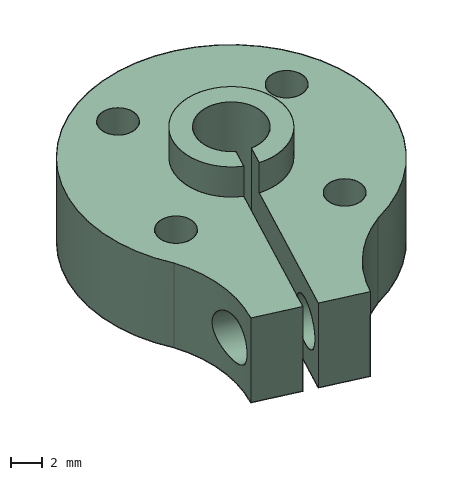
import cadquery as cq
import math

total_length = 26.55
disc_radius = 11.1
disc_height = 7.0
collar_diameter = 7.95
collar_height = 2.5
bore_diameter = 4.91
slot_width = 1.04

lug_end_x = total_length - disc_radius
lug_half_width = 4.0
join_x = 8.75

mount_hole_diameter = 2.7
mount_hole_spacing = 11.31

clamp_hole_diameter = 3.72
clamp_hole_end_distance = 2.52

total_height = disc_height + collar_height

join_y = math.sqrt(disc_radius**2 - join_x**2)
flank_length = lug_end_x - join_x
flank_rise = join_y - lug_half_width
flank_radius = (flank_length**2 + flank_rise**2) / (2 * flank_rise)
flank_center_y = lug_half_width + flank_radius

half_sweep = math.asin(flank_length / flank_radius) / 2
flank_mid_x = lug_end_x - flank_radius * math.sin(half_sweep)
flank_mid_y = flank_center_y - flank_radius * math.cos(half_sweep)


def make_body():
    """Disc blended into the clamp lug, with the collar on top."""
    body = (
        cq.Workplane("XY")
        .moveTo(lug_end_x, -lug_half_width)
        .lineTo(lug_end_x, lug_half_width)
        .threePointArc((flank_mid_x, flank_mid_y), (join_x, join_y))
        .threePointArc((-disc_radius, 0), (join_x, -join_y))
        .threePointArc((flank_mid_x, -flank_mid_y), (lug_end_x, -lug_half_width))
        .close()
        .extrude(disc_height)
    )
    collar = cq.Workplane("XY").circle(collar_diameter / 2).extrude(total_height)
    return body.union(collar)


def make_bore_and_slot():
    """Shaft bore and the slot that opens it through the lug end."""
    bore = cq.Workplane("XY").circle(bore_diameter / 2).extrude(total_height)
    slot = (
        cq.Workplane("XY")
        .center(lug_end_x / 2, 0)
        .rect(lug_end_x, slot_width)
        .extrude(total_height)
    )
    return bore.union(slot)


def make_mount_holes():
    """Square pattern of four holes through the disc."""
    return (
        cq.Workplane("XY")
        .rarray(mount_hole_spacing, mount_hole_spacing, 2, 2)
        .circle(mount_hole_diameter / 2)
        .extrude(disc_height)
    )


def make_clamp_hole():
    """Clamp screw hole crossing both halves of the lug along Y."""
    return (
        cq.Workplane("XZ")
        .center(lug_end_x - clamp_hole_end_distance, disc_height / 2)
        .circle(clamp_hole_diameter / 2)
        .extrude(disc_radius, both=True)
    )


result = make_body().cut(make_bore_and_slot()).cut(make_mount_holes()).cut(make_clamp_hole())